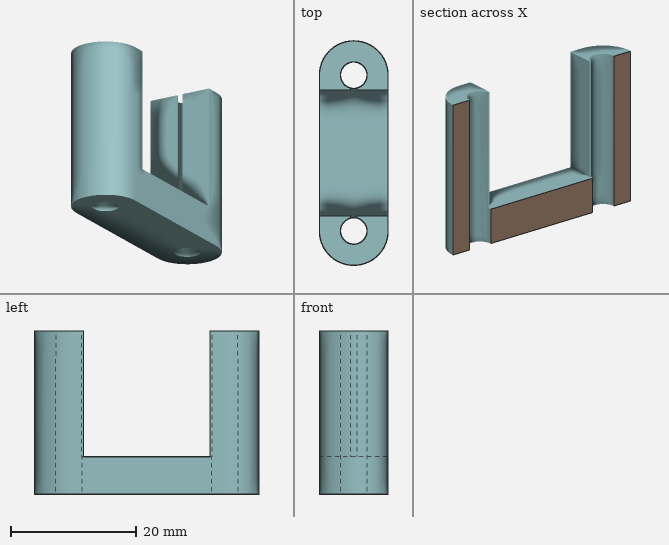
import cadquery as cq

length = 35.88
width = 11.0
height = 26.1

floor_thickness = 6.03
opening_length = 20.15

bore_diameter = 4.2
slit_width = 1.0

bore_offset = (length - width) / 2
post_height = height - floor_thickness


def box_on_floor(size_x, size_y):
    """Centred box rising from the floor of the opening to the top of the posts."""
    return (
        cq.Workplane("XY", origin=(0, 0, floor_thickness))
        .rect(size_x, size_y)
        .extrude(post_height)
    )


body = cq.Workplane("XY").slot2D(length, width, 90).extrude(height)

opening = box_on_floor(width, opening_length)

bores = (
    cq.Workplane("XY")
    .pushPoints([(0, -bore_offset), (0, bore_offset)])
    .circle(bore_diameter / 2)
    .extrude(height)
)

slits = box_on_floor(slit_width, 2 * bore_offset)

result = body.cut(opening).cut(bores).cut(slits)